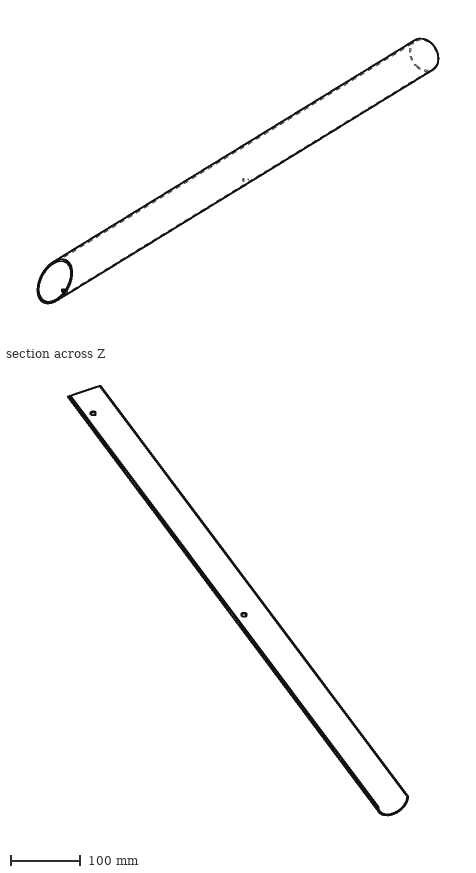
import cadquery as cq

length = 1000.0
outer_diameter = 50.0
inner_diameter = 46.0
radius = outer_diameter / 2
drain_diameter = 8.0
drain_distances = [472.0, 950.0]

tube = (
    cq.Workplane("XZ", origin=(0, length / 2, 0))
    .circle(radius)
    .circle(inner_diameter / 2)
    .extrude(length)
)

tip_y = -length / 2
mitre = (
    cq.Workplane("YZ")
    .polyline([(tip_y, -radius), (tip_y, radius), (tip_y + outer_diameter, radius)])
    .close()
    .extrude(radius, both=True)
)

drains = (
    cq.Workplane("XY", origin=(0, 0, -radius))
    .pushPoints([(0, length / 2 - distance) for distance in drain_distances])
    .circle(drain_diameter / 2)
    .extrude(radius)
)

result = tube.cut(mitre).cut(drains)